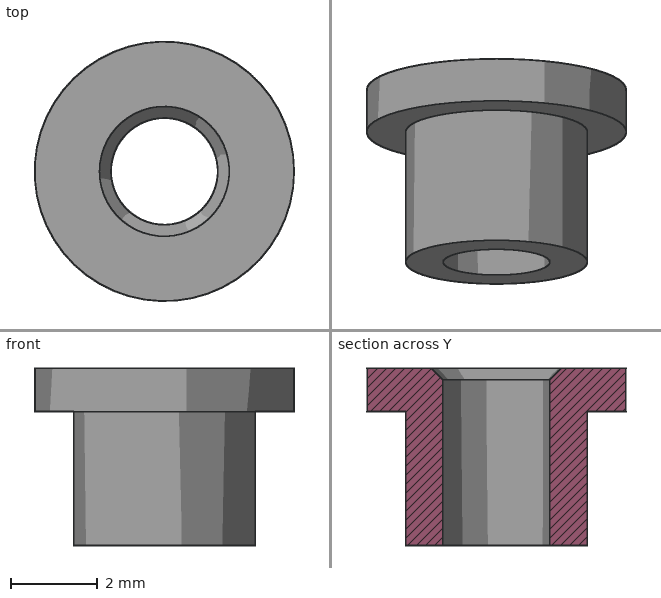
import cadquery as cq

flange_diameter = 6.0
flange_thickness = 1.0
sleeve_diameter = 4.2
total_height = 4.1
bore_diameter = 2.46
bore_mouth_diameter = 3.0

sleeve_length = total_height - flange_thickness
bore_chamfer = (bore_mouth_diameter - bore_diameter) / 2

sleeve = cq.Workplane("XY").circle(sleeve_diameter / 2).extrude(sleeve_length)
body = sleeve.faces(">Z").workplane().circle(flange_diameter / 2).extrude(flange_thickness)

bored_body = body.faces(">Z").workplane().hole(bore_diameter)
bore_mouth_edge = cq.selectors.RadiusNthSelector(0)
result = bored_body.faces(">Z").edges(bore_mouth_edge).chamfer(bore_chamfer)